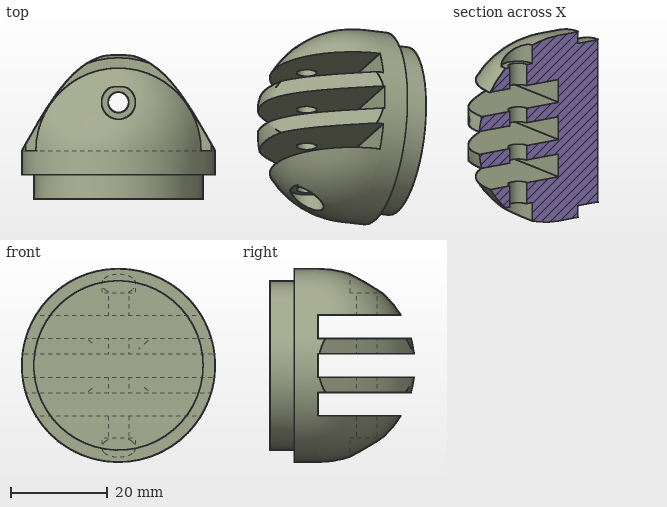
import cadquery as cq
import math

dome_radius = 20.0
flange_thickness = 5.0
spigot_radius = 17.5
spigot_length = 5.0

slot_width = 4.8
slot_pitch = 8.0
slot_count = 3

screw_offset = 10.0
screw_diameter = 4.2
counterbore_diameter = 7.0
counterbore_floor = 15.0

rim_slope = math.radians(60)
rim_handle = 11.1
crown_handle = 9.3


def make_base():
    flange = cq.Workplane("XZ").circle(dome_radius).extrude(flange_thickness)
    spigot = (
        cq.Workplane("XZ", origin=(0, -flange_thickness, 0))
        .circle(spigot_radius)
        .extrude(spigot_length)
    )
    return flange.union(spigot)


def make_dome():
    """Half sphere on the +Y side of the flange."""
    size = 2 * dome_radius
    front_half = cq.Workplane("XY").box(size, dome_radius, size, centered=(True, False, True))
    return cq.Workplane("XY").sphere(dome_radius).intersect(front_half)


def make_bell():
    """Prism along Z with a bell-shaped section between the two rim points."""
    rim_x = dome_radius - rim_handle * math.cos(rim_slope)
    rim_y = rim_handle * math.sin(rim_slope)
    crown = (0, dome_radius)
    right_side = [(dome_radius, 0), (rim_x, rim_y), (crown_handle, dome_radius), crown]
    left_side = [(-x, y) for x, y in reversed(right_side)]
    return (
        cq.Workplane("XY", origin=(0, 0, -dome_radius))
        .moveTo(dome_radius, 0)
        .bezier(right_side)
        .bezier(left_side)
        .close()
        .extrude(2 * dome_radius)
    )


def cut_slots(body):
    """Slots open at the crown and both sides, with the flange as their floor."""
    for index in range(slot_count):
        slot_z = (index - (slot_count - 1) / 2) * slot_pitch
        slot = cq.Workplane("XY", origin=(0, 0, slot_z)).box(
            2 * dome_radius, dome_radius, slot_width, centered=(True, False, True)
        )
        body = body.cut(slot)
    return body


def cut_screw_holes(body):
    """One hole through dome and bars, with a counterbored seat at the top and bottom."""
    hole = (
        cq.Workplane("XY", origin=(0, screw_offset, -dome_radius))
        .circle(screw_diameter / 2)
        .extrude(2 * dome_radius)
    )
    body = body.cut(hole)
    for side in (1, -1):
        counterbore = (
            cq.Workplane("XY", origin=(0, screw_offset, side * counterbore_floor))
            .circle(counterbore_diameter / 2)
            .extrude(side * (dome_radius - counterbore_floor))
        )
        body = body.cut(counterbore)
    return body


dome = make_dome().intersect(make_bell())
dome = cut_screw_holes(cut_slots(dome))
result = make_base().union(dome)